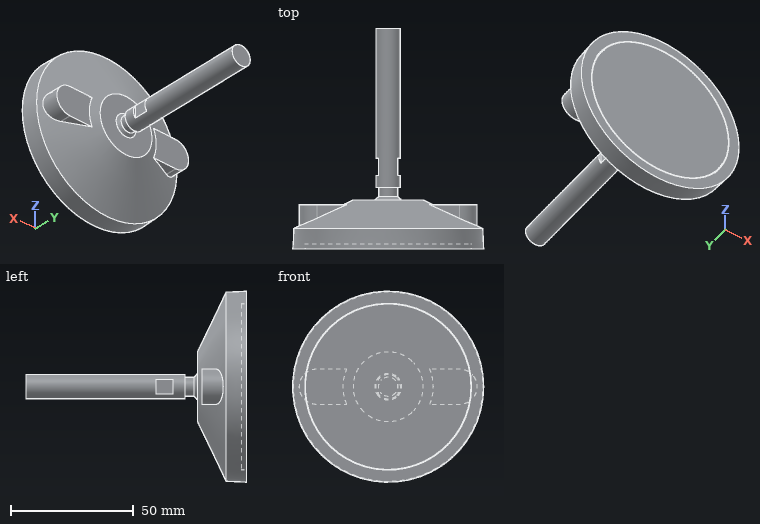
import cadquery as cq

overall_length = 90.0

base_diameter = 78.0
rim_top_diameter = 77.3
rim_height = 8.4
crown_diameter = 28.5
base_height = 20.1

pad_diameter = 67.5
groove_outer_diameter = 68.0
groove_depth = 2.0

lug_width = 14.4
lug_center_offset = 29.1
lug_top = 18.1

collar_diameter = 10.9
neck_diameter = 7.8
collar_height = 1.35
shaft_diameter = 10.0
shaft_start = 25.0

flats_width = 8.0
flats_start = 30.1
flats_length = 6.9


def disc(diameter, start, end):
    """Cylinder on the Y axis between two heights."""
    return cq.Workplane("XZ", origin=(0, start, 0)).circle(diameter / 2).extrude(start - end)


def make_base():
    """Tapered rim with a cone rising to a flat crown."""
    return (
        cq.Workplane("XY")
        .lineTo(base_diameter / 2, 0)
        .lineTo(rim_top_diameter / 2, rim_height)
        .lineTo(crown_diameter / 2, base_height)
        .lineTo(0, base_height)
        .close()
        .revolve(360, (0, 0, 0), (0, 1, 0))
    )


def make_lugs():
    """Straight bar with round ends; the cone hides its middle."""
    bar_length = 2 * lug_center_offset + lug_width
    return (
        cq.Workplane("XZ", origin=(0, rim_height / 2, 0))
        .slot2D(bar_length, lug_width)
        .extrude(rim_height / 2 - lug_top)
    )


def make_stem():
    """Flared collar, neck and shaft, starting inside the base."""
    return (
        cq.Workplane("XY", origin=(0, rim_height, 0))
        .lineTo(collar_diameter / 2, 0)
        .lineTo(collar_diameter / 2, base_height - rim_height)
        .lineTo(neck_diameter / 2, base_height + collar_height - rim_height)
        .lineTo(neck_diameter / 2, shaft_start - rim_height)
        .lineTo(shaft_diameter / 2, shaft_start - rim_height)
        .lineTo(shaft_diameter / 2, overall_length - rim_height)
        .lineTo(0, overall_length - rim_height)
        .close()
        .revolve(360, (0, 0, 0), (0, 1, 0))
    )


def make_flat_cutters():
    """Blocks that remove the shaft sides outside the wrench width."""
    cutters = cq.Workplane("XY")
    for side in (-1, 1):
        center_x = side * (flats_width + shaft_diameter) / 2
        center_y = flats_start + flats_length / 2
        block = cq.Workplane("XY").box(shaft_diameter, flats_length, shaft_diameter)
        cutters = cutters.add(block.translate((center_x, center_y, 0)))
    return cutters.combine()


groove = disc(groove_outer_diameter, 0, groove_depth).cut(disc(pad_diameter, 0, groove_depth))

result = make_base().union(make_lugs()).union(make_stem())
result = result.cut(make_flat_cutters()).cut(groove)